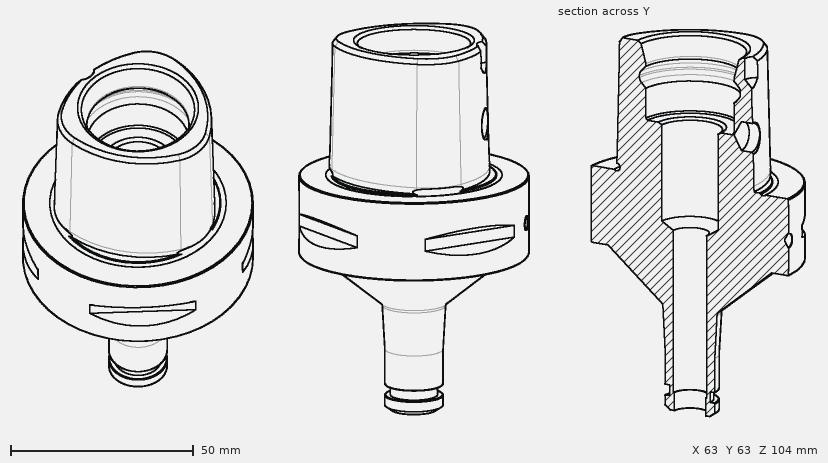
import cadquery as cq
import math


flange_radius = 31.5
flange_thickness = 22.0
flange_edge_chamfer = 0.3
flange_mid_z = -12.0

cone_top_radius = 26.1
cone_bottom_radius = 8.7
cone_bottom_z = -36.2
cone_foot_fillet = 1.0
shank_radius = 8.0
shank_taper_end_z = -49.0
shank_groove_radius = 13.0 / 2
shank_groove_top_z = -59.0
shank_groove_bottom_z = -61.9
shank_edge_chamfer = 0.2
shank_tip_chamfer = 1.8
shank_tip_chamfer_height = 1.2
shank_tip_z = -66.0

taper_height = 38.0
taper_straight_height = 2.1
taper_lobe_reach = 23.4
taper_flat_reach = 20.5
taper_lobe_radius = 12.7
taper_half_slope = 0.025
taper_top_chamfer = 1.0
taper_top_chamfer_height = 1.4

foot_pad_radius = 22.5
foot_pad_height = 0.3
relief_ring_radius = 23.4
relief_section_radius = 1.0
relief_center_z = 0.7

mouth_radius = 16.5
mouth_chamfer_radius = 15.5
mouth_chamfer_depth = 0.8
lip_radius = 28.0 / 2
lip_top_depth = 6.2
lip_bottom_depth = 7.1
clamp_groove_radius = 32.0 / 2
clamp_groove_bottom_depth = 13.3
clamp_groove_fillet = 2.0
bore_radius = 28.0 / 2
bore_floor_z = 15.6
bore_floor_chamfer = 0.5
screw_mouth_radius = 10.0
screw_bore_radius = 17.8 / 2
screw_bore_end_z = -12.5
coolant_radius = 10.5 / 2
outlet_radius = 10.0 / 2
outlet_length = 5.2

grip_flat_distance = 28.0
grip_flat_height = 3.3
grip_flank_angle = 30

index_hole_radius = 4.0 / 2
index_hole_depth = 0.2
side_hole_radius = 8.1 / 2
side_hole_z = 15.6
side_hole_bottom_x = -16.4
side_hole_rim_x = -19.8
notch_radius = 8.1 / 2
notch_axis_x = -21.6
notch_depth = 6.0
notch_point_slope = 1.0
drill_point_slope = math.tan(math.radians(30))


def revolve(points):
    """Solid of revolution about Z from (radius, z) points."""
    return cq.Workplane("XZ").polyline(points).close().revolve(360, (0, 0), (0, 1))


def circles_of_radius(solid, radius):
    return solid.edges("%CIRCLE").filter(lambda edge: math.isclose(edge.radius(), radius))


def polar(radius, angle_deg):
    angle = math.radians(angle_deg)
    return radius * math.cos(angle), radius * math.sin(angle)


def lobed_wire(inset, z):
    """Outline of three lobe arcs tangent to three wide arcs, moved inward by an even inset."""
    center_offset = taper_lobe_reach - taper_lobe_radius
    wide_radius = (
        center_offset**2 + taper_flat_reach**2 - center_offset * taper_flat_reach - taper_lobe_radius**2
    ) / (2 * taper_flat_reach - 2 * taper_lobe_radius - center_offset)
    wide_offset = wide_radius - taper_flat_reach
    wide_x, wide_y = polar(-wide_offset, 60)
    seam_normal = math.atan2(-wide_y, center_offset - wide_x)
    lobe_radius = taper_lobe_radius - inset
    seam_x = center_offset + lobe_radius * math.cos(seam_normal)
    seam_y = lobe_radius * math.sin(seam_normal)
    seam_reach = math.hypot(seam_x, seam_y)
    seam_angle = math.degrees(math.atan2(seam_y, seam_x))

    outline = cq.Workplane("XY", origin=(0, 0, z)).moveTo(*polar(seam_reach, -seam_angle))
    for lobe in (0, 120, 240):
        outline = outline.threePointArc(
            polar(taper_lobe_reach - inset, lobe), polar(seam_reach, lobe + seam_angle)
        ).threePointArc(
            polar(taper_flat_reach - inset, lobe + 60), polar(seam_reach, lobe + 120 - seam_angle)
        )
    return outline.close().val()


def lobed_section(lower_inset, lower_z, upper_inset, upper_z):
    wires = [lobed_wire(lower_inset, lower_z), lobed_wire(upper_inset, upper_z)]
    return cq.Workplane(cq.Solid.makeLoft(wires, True))


def make_body():
    body = revolve([
        (0, 0),
        (flange_radius - flange_edge_chamfer, 0),
        (flange_radius, -flange_edge_chamfer),
        (flange_radius, flange_edge_chamfer - flange_thickness),
        (flange_radius - flange_edge_chamfer, -flange_thickness),
        (cone_top_radius, -flange_thickness),
        (cone_bottom_radius, cone_bottom_z),
        (shank_radius, shank_taper_end_z),
        (shank_radius, shank_groove_top_z + shank_edge_chamfer),
        (shank_radius - shank_edge_chamfer, shank_groove_top_z),
        (shank_groove_radius, shank_groove_top_z),
        (shank_groove_radius, shank_groove_bottom_z),
        (shank_radius - shank_edge_chamfer, shank_groove_bottom_z),
        (shank_radius, shank_groove_bottom_z - shank_edge_chamfer),
        (shank_radius, shank_tip_z + shank_tip_chamfer_height),
        (shank_radius - shank_tip_chamfer, shank_tip_z),
        (0, shank_tip_z),
    ])
    return circles_of_radius(body, cone_bottom_radius).fillet(cone_foot_fillet)


def make_taper():
    shoulder_z = taper_height - taper_top_chamfer_height
    shoulder_inset = taper_half_slope * (shoulder_z - taper_straight_height)
    foot = lobed_section(0, 0, 0, taper_straight_height)
    wall = lobed_section(0, taper_straight_height, shoulder_inset, shoulder_z)
    crown = lobed_section(shoulder_inset, shoulder_z, shoulder_inset + taper_top_chamfer, taper_height)
    return foot.union(wall).union(crown)


def make_relief():
    return (
        cq.Workplane("XZ")
        .center(relief_ring_radius, relief_center_z)
        .circle(relief_section_radius)
        .revolve(360, (-relief_ring_radius, 0), (-relief_ring_radius, 1))
    )


def make_bore():
    screw_chamfer = screw_mouth_radius - screw_bore_radius
    groove_top_z = taper_height - lip_bottom_depth - (clamp_groove_radius - lip_radius)
    groove_bottom_z = taper_height - clamp_groove_bottom_depth + (clamp_groove_radius - bore_radius)
    bore = revolve([
        (0, taper_height),
        (mouth_radius, taper_height),
        (mouth_chamfer_radius, taper_height - mouth_chamfer_depth),
        (lip_radius, taper_height - lip_top_depth),
        (lip_radius, taper_height - lip_bottom_depth),
        (clamp_groove_radius, groove_top_z),
        (clamp_groove_radius, groove_bottom_z),
        (bore_radius, taper_height - clamp_groove_bottom_depth),
        (bore_radius, bore_floor_z + bore_floor_chamfer),
        (bore_radius - bore_floor_chamfer, bore_floor_z),
        (screw_mouth_radius, bore_floor_z),
        (screw_bore_radius, bore_floor_z - screw_chamfer * drill_point_slope),
        (screw_bore_radius, screw_bore_end_z),
        (coolant_radius, screw_bore_end_z - (screw_bore_radius - coolant_radius) * drill_point_slope),
        (coolant_radius, shank_tip_z + outlet_length),
        (outlet_radius, shank_tip_z + outlet_length),
        (outlet_radius, shank_tip_z),
        (0, shank_tip_z),
    ])
    return circles_of_radius(bore, clamp_groove_radius).fillet(clamp_groove_fillet)


def make_grip_grooves():
    """Four straight grooves with sloped flanks, on the diagonals of the flange."""
    depth = flange_radius - grip_flat_distance + 1
    inner = grip_flat_height / 2
    outer = inner + depth * math.tan(math.radians(grip_flank_angle))
    groove = (
        cq.Workplane("XZ", origin=(0, flange_radius, flange_mid_z))
        .moveTo(grip_flat_distance, -inner)
        .lineTo(grip_flat_distance + depth, -outer)
        .lineTo(grip_flat_distance + depth, outer)
        .lineTo(grip_flat_distance, inner)
        .close()
        .extrude(2 * flange_radius)
    )
    grooves = cq.Workplane()
    for angle in (45, 135, 225, 315):
        grooves = grooves.add(groove.rotate((0, 0, 0), (0, 0, 1), angle))
    return grooves.combine()


def drill(radius, length, slope):
    """Drill along -Z from the origin: a cylinder of the given length and a conical point."""
    return revolve([(0, 0), (radius, 0), (radius, -length), (0, -length - radius * slope)])


def drill_from_left(radius, start_x, bottom_x, z):
    """Blind hole along +X with a drill point at its end."""
    tool = drill(radius, bottom_x - start_x, drill_point_slope)
    return tool.rotate((0, 0, 0), (0, 1, 0), -90).translate((start_x, 0, z))


def make_side_hole():
    """Side hole with a 45 degree countersink that narrows to the hole radius at the rim plane."""
    hole = drill_from_left(side_hole_radius, -flange_radius, side_hole_bottom_x, side_hole_z)
    sink_length = 1.0
    sink = (
        cq.Workplane("YZ", origin=(side_hole_rim_x, 0, side_hole_z))
        .circle(side_hole_radius)
        .workplane(offset=-sink_length)
        .circle(side_hole_radius + sink_length)
        .loft()
    )
    return hole.union(sink)


index_hole = drill_from_left(
    index_hole_radius, -flange_radius - 1, index_hole_depth - flange_radius, flange_mid_z
)
notch = drill(notch_radius, notch_depth, notch_point_slope).translate((notch_axis_x, 0, taper_height))

result = make_body().union(make_taper())
result = result.union(cq.Workplane("XY").circle(foot_pad_radius).extrude(foot_pad_height))
for cutter in (make_relief(), make_bore(), make_grip_grooves(), make_side_hole(), index_hole, notch):
    result = result.cut(cutter)